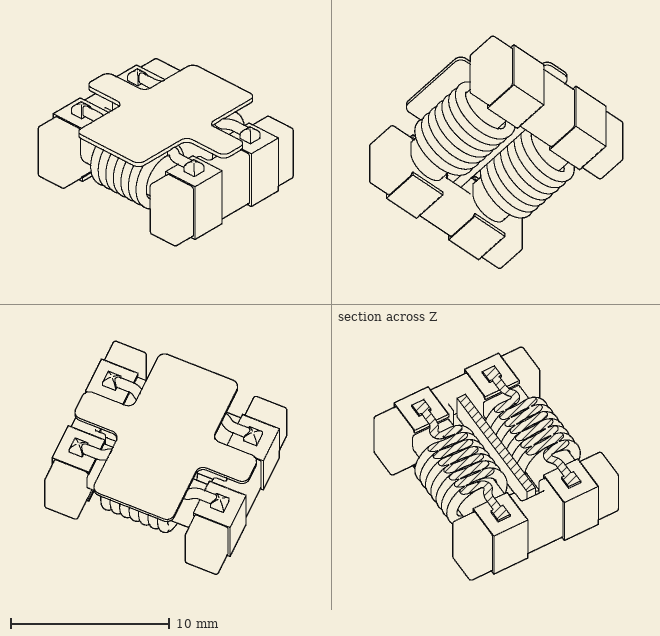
import cadquery as cq
import math

TOTAL_LENGTH = 12.3
TOTAL_WIDTH = 11.0
TOTAL_HEIGHT = 4.9

FLANGE_LENGTH = 2.3
FLANGE_ROUND = 0.2

CLIP_PROUD = 0.1
CLIP_FACE_PROUD = 0.15
CLIP_SHEET = 0.3
CLIP_WIDTH = 2.51
CLIP_HEIGHT = 4.0

WINDING_OFFSET = 2.6
BAR_WIDTH = 2.68
BAR_TOP = 3.4
BAR_ARC_CENTRE = 2.24
BAR_ROUND = 0.2

WIRE_DIAMETER = 0.65
TURNS = 7
COIL_LENGTH = 4.59
COIL_RADIUS = 1.94
LEAD_BEND_RADIUS = 0.9
LEAD_BEND_ANGLE = 40.0
LEAD_STRAIGHT = 0.09

JOINT_SIZE = 0.9
JOINT_RISE = 0.39

PLATE_THICKNESS = 0.3
PLATE_WIDTH = 10.81
PLATE_BODY_LENGTH = 5.5
PLATE_ARM_WIDTH = 2.02
PLATE_ROUND = 0.5
RIB_LENGTH = 8.66
RIB_WIDTH = 0.64
RIB_BOTTOM = 2.24

RECESS_WIDTH = 1.7
RECESS_REACH = 0.84
RECESS_ROUND = 0.15

FLANGE_OUTER = TOTAL_LENGTH / 2 - CLIP_FACE_PROUD
FLANGE_INNER = FLANGE_OUTER - FLANGE_LENGTH
FLANGE_HEIGHT = CLIP_HEIGHT - 2 * CLIP_PROUD
CLIP_LENGTH = CLIP_FACE_PROUD + FLANGE_LENGTH + CLIP_PROUD
JOINT_CENTRE = TOTAL_LENGTH / 2 - CLIP_LENGTH / 2
WIRE_RADIUS = WIRE_DIAMETER / 2
COIL_PITCH = COIL_LENGTH / TURNS
LEAD_HEIGHT = CLIP_HEIGHT + WIRE_RADIUS
COIL_HEIGHT = LEAD_HEIGHT - COIL_RADIUS
PLATE_BOTTOM = TOTAL_HEIGHT - PLATE_THICKNESS


def block(length, width, height, x, y, bottom):
    """Box centred on x and y, standing on the given bottom height."""
    return cq.Workplane("XY").box(length, width, height, (True, True, False)).translate((x, y, bottom))


def make_flange():
    """Rounded end flange on the -X side, with the recess for the rib."""
    centre = -(FLANGE_OUTER + FLANGE_INNER) / 2
    flange = block(FLANGE_LENGTH, TOTAL_WIDTH, FLANGE_HEIGHT, centre, 0, CLIP_PROUD)
    recess = block(2 * RECESS_REACH, RECESS_WIDTH, FLANGE_HEIGHT, -FLANGE_INNER, 0, RIB_BOTTOM)
    flange = flange.cut(recess.edges("|Z").fillet(RECESS_ROUND))
    return flange.faces("<X or >X or <Y or >Y or <Z or >Z").edges().fillet(FLANGE_ROUND)


def make_clip():
    """C-shaped clip on the -X, -Y corner, open towards the part's middle."""
    clip = block(CLIP_LENGTH, CLIP_WIDTH, CLIP_HEIGHT, -JOINT_CENTRE, -WINDING_OFFSET, 0)
    opening = block(
        CLIP_LENGTH, CLIP_WIDTH, CLIP_HEIGHT - 2 * CLIP_SHEET,
        -JOINT_CENTRE + CLIP_SHEET, -WINDING_OFFSET, CLIP_SHEET,
    )
    return clip.cut(opening)


def make_joint():
    """Solder joint: a square pad whose top is arched along both X and Y."""
    half = JOINT_SIZE / 2

    def arched_block(plane):
        return (
            cq.Workplane(plane)
            .moveTo(-half, CLIP_HEIGHT)
            .lineTo(-half, LEAD_HEIGHT)
            .threePointArc((0, LEAD_HEIGHT + JOINT_RISE), (half, LEAD_HEIGHT))
            .lineTo(half, CLIP_HEIGHT)
            .close()
            .extrude(half, both=True)
        )

    joint = arched_block("XZ").intersect(arched_block("YZ"))
    return joint.translate((-JOINT_CENTRE, -WINDING_OFFSET, 0))


def make_bar():
    """Core bar with a half-round underside and rounded upper edges."""
    half = BAR_WIDTH / 2
    bar = (
        cq.Workplane("YZ")
        .moveTo(-half, BAR_TOP)
        .lineTo(-half, BAR_ARC_CENTRE)
        .threePointArc((0, BAR_ARC_CENTRE - half), (half, BAR_ARC_CENTRE))
        .lineTo(half, BAR_TOP)
        .close()
        .extrude(FLANGE_INNER + FLANGE_ROUND, both=True)
    )
    return bar.edges("|X and >Z").fillet(BAR_ROUND).translate((0, -WINDING_OFFSET, 0))


def make_coil():
    """Helical winding that starts and ends at the top of its last turns."""
    path = cq.Wire.makeHelix(COIL_PITCH, COIL_LENGTH, COIL_RADIUS, lefthand=True)
    coil = (
        cq.Workplane("XZ")
        .center(COIL_RADIUS, 0)
        .circle(WIRE_RADIUS)
        .sweep(cq.Workplane(path), isFrenet=True)
    )
    coil = coil.rotate((0, 0, 0), (0, 1, 0), 90).rotate((0, 0, 0), (1, 0, 0), 180)
    return coil.translate((-COIL_LENGTH / 2, -WINDING_OFFSET, COIL_HEIGHT))


def make_lead():
    """Lead from the joint: swings outwards, then hooks back into the first turn."""
    bend = math.radians(LEAD_BEND_ANGLE)
    helix_angle = math.atan(COIL_PITCH / (2 * math.pi * COIL_RADIUS))
    entry = math.pi / 2 - helix_angle
    sideways = LEAD_BEND_RADIUS * (1 - math.cos(bend)) + LEAD_STRAIGHT * math.sin(bend)
    hook_radius = sideways / (math.cos(bend) - math.cos(entry))

    def on_circle(centre, radius, angle):
        return (centre[0] + radius * math.cos(angle), centre[1] + radius * math.sin(angle))

    end = (-COIL_LENGTH / 2, -WINDING_OFFSET)
    hook_centre = (end[0] - hook_radius * math.sin(entry), end[1] + hook_radius * math.cos(entry))
    hook_start = on_circle(hook_centre, hook_radius, -math.pi / 2 - bend)
    hook_middle = on_circle(hook_centre, hook_radius, (entry - bend - math.pi) / 2)
    bend_end = on_circle(hook_start, LEAD_STRAIGHT, math.pi - bend)
    bend_centre = on_circle(bend_end, LEAD_BEND_RADIUS, -math.pi / 2 - bend)
    bend_start = on_circle(bend_centre, LEAD_BEND_RADIUS, math.pi / 2)
    bend_middle = on_circle(bend_centre, LEAD_BEND_RADIUS, (math.pi - bend) / 2)

    path = (
        cq.Workplane("XY", origin=(0, 0, LEAD_HEIGHT))
        .moveTo(-JOINT_CENTRE, -WINDING_OFFSET)
        .lineTo(*bend_start)
        .threePointArc(bend_middle, bend_end)
        .lineTo(*hook_start)
        .threePointArc(hook_middle, end)
    )
    section = cq.Workplane("YZ", origin=(-JOINT_CENTRE, -WINDING_OFFSET, LEAD_HEIGHT))
    return section.circle(WIRE_RADIUS).sweep(path)


def make_cover():
    """Cross-shaped plate with rounded corners, and the rib below it."""
    arms = block(2 * FLANGE_OUTER, PLATE_ARM_WIDTH, PLATE_THICKNESS, 0, 0, PLATE_BOTTOM)
    body = block(PLATE_BODY_LENGTH, PLATE_WIDTH, PLATE_THICKNESS, 0, 0, PLATE_BOTTOM)
    plate = arms.union(body).edges("|Z").fillet(PLATE_ROUND)
    return plate.union(block(RIB_LENGTH, RIB_WIDTH, PLATE_BOTTOM - RIB_BOTTOM, 0, 0, RIB_BOTTOM))


def both_ends(shape):
    """The shape and its copy turned half round about the upright through its winding."""
    turned = shape.rotate((0, -WINDING_OFFSET, 0), (0, -WINDING_OFFSET, 1), 180)
    return [shape, turned]


flange = make_flange()
result = flange.union(flange.mirror("YZ")).union(make_cover())

winding_parts = [make_bar(), make_coil()]
for end_part in (make_clip(), make_joint(), make_lead()):
    winding_parts += both_ends(end_part)

for part in winding_parts:
    result = result.union(part).union(part.mirror("XZ"))